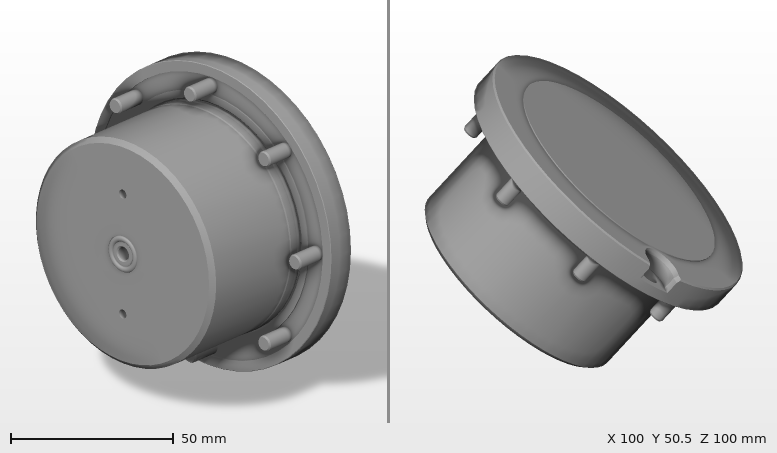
import cadquery as cq
import math


flange_radius = 50.0
flange_back = 9.6
face_rim_chamfer = 0.2
back_rim_chamfer = 0.5
mouth_chamfer = 0.5
pad_radius = 38.2
pad_height = 0.4

body_radius = 74.6 / 2
body_length = 40.0
end_chamfer_length = 1.5
end_chamfer_depth = 1.6
land_radius = 75.0 / 2
land_start = 1.8
land_end = 4.3
land_taper_length = 0.5

ring_outer_radius = land_radius
ring_bulge = 0.7

face_seal_inner_radius = 8.0 / 2
face_seal_outer_radius = 12.0 / 2
face_seal_height = 0.5
face_seal_edge_depth = 0.3

bolt_circle_radius = 43.5
recess_width = 6.0
recess_depth = 0.5
bolt_count = 8
bolt_radius = 5.0 / 2
bolt_projection = 9.6
bolt_chamfer_length = 0.6
bolt_chamfer_depth = 0.35

hole_angle = math.radians(270 - 180 / bolt_count)
through_hole_radius = 8.0 / 2
pocket_radius = 12.0 / 2
pocket_centre_radii = (45.4, 49.4)
pocket_depth = 6.0
pocket_chamfer_length = 1.6
pocket_chamfer_depth = 0.7

port_mouth_radius = 5.2 / 2
port_bore_radius = 4.3 / 2
port_bore_depth = 6.0
port_drill_radius = 3.3 / 2
port_drill_depth = 10.0
small_hole_radius = 3.0 / 2
small_hole_offset = 20.0
small_hole_depth = 6.0
drill_tip_angle = math.radians(118)


def turn(profile):
    """Revolve a closed (radius, Y) profile about the Y axis."""
    return profile.close().revolve(360, (0, 0, 0), (0, 1, 0))


def polar(radius, angle):
    """X and Z of a point on a circle about the Y axis."""
    return radius * math.cos(angle), radius * math.sin(angle)


def move_to(solid, place):
    return solid.translate((place[0], 0, place[1]))


def make_turned_body():
    end_face = -body_length
    seal_mid_radius = (face_seal_inner_radius + face_seal_outer_radius) / 2
    seal_crown = end_face - face_seal_height
    seal_edge = end_face + face_seal_edge_depth
    ring_edge_radius = ring_outer_radius - ring_bulge
    ring_mid = (mouth_chamfer - land_start) / 2
    back = flange_back
    profile = (
        cq.Workplane("XY")
        .moveTo(0, end_face)
        .lineTo(face_seal_inner_radius, end_face)
        .lineTo(face_seal_inner_radius, seal_edge)
        .threePointArc((seal_mid_radius, seal_crown), (face_seal_outer_radius, seal_edge))
        .lineTo(face_seal_outer_radius, end_face)
        .lineTo(body_radius - end_chamfer_depth, end_face)
        .lineTo(body_radius, end_face + end_chamfer_length)
        .lineTo(body_radius, -land_end - land_taper_length)
        .lineTo(land_radius, -land_end)
        .lineTo(land_radius, -land_start)
        .lineTo(ring_edge_radius, -land_start)
        .threePointArc((ring_outer_radius, ring_mid), (ring_edge_radius, mouth_chamfer))
        .lineTo(land_radius, mouth_chamfer)
        .lineTo(land_radius + mouth_chamfer, 0)
        .lineTo(flange_radius - face_rim_chamfer, 0)
        .lineTo(flange_radius, face_rim_chamfer)
        .lineTo(flange_radius, back - back_rim_chamfer)
        .lineTo(flange_radius - back_rim_chamfer, back)
        .lineTo(pad_radius, back)
        .lineTo(pad_radius, back + pad_height)
        .lineTo(0, back + pad_height)
    )
    return turn(profile)


def make_bolt_recess():
    inner = bolt_circle_radius - recess_width / 2
    return turn(
        cq.Workplane("XY")
        .moveTo(inner, 0)
        .lineTo(inner + recess_width, 0)
        .lineTo(inner + recess_width, recess_depth)
        .lineTo(inner, recess_depth)
    )


def make_bolt_end():
    return turn(
        cq.Workplane("XY")
        .moveTo(0, flange_back / 2)
        .lineTo(bolt_radius, flange_back / 2)
        .lineTo(bolt_radius, bolt_chamfer_length - bolt_projection)
        .lineTo(bolt_radius - bolt_chamfer_depth, -bolt_projection)
        .lineTo(0, -bolt_projection)
    )


def make_through_hole():
    return turn(
        cq.Workplane("XY")
        .lineTo(through_hole_radius, 0)
        .lineTo(through_hole_radius, flange_back)
        .lineTo(0, flange_back)
    )


def make_pocket_bore():
    """Flat-bottomed bore from the back of the flange, chamfered at its mouth."""
    return turn(
        cq.Workplane("XY")
        .moveTo(0, flange_back)
        .lineTo(pocket_radius + pocket_chamfer_depth, flange_back)
        .lineTo(pocket_radius, flange_back - pocket_chamfer_length)
        .lineTo(pocket_radius, flange_back - pocket_depth)
        .lineTo(0, flange_back - pocket_depth)
    )


def make_drill(radius, depth):
    """Drilled hole in the end face, with a conical bottom."""
    end_face = -body_length
    tip_length = radius / math.tan(drill_tip_angle / 2)
    return turn(
        cq.Workplane("XY")
        .moveTo(0, end_face)
        .lineTo(radius, end_face)
        .lineTo(radius, end_face + depth)
        .lineTo(0, end_face + depth + tip_length)
    )


def make_port():
    end_face = -body_length
    mouth = turn(
        cq.Workplane("XY")
        .moveTo(0, end_face)
        .lineTo(port_mouth_radius, end_face)
        .lineTo(port_bore_radius, end_face + port_mouth_radius - port_bore_radius)
        .lineTo(port_bore_radius, end_face + port_bore_depth)
        .lineTo(0, end_face + port_bore_depth)
    )
    return mouth.union(make_drill(port_drill_radius, port_drill_depth))


result = make_turned_body().cut(make_bolt_recess())

for index in range(bolt_count):
    bolt_angle = 2 * math.pi * index / bolt_count
    result = result.union(move_to(make_bolt_end(), polar(bolt_circle_radius, bolt_angle)))

result = result.cut(move_to(make_through_hole(), polar(bolt_circle_radius, hole_angle)))
for centre_radius in pocket_centre_radii:
    result = result.cut(move_to(make_pocket_bore(), polar(centre_radius, hole_angle)))

result = result.cut(make_port())
for side in (-1, 1):
    small_hole = make_drill(small_hole_radius, small_hole_depth)
    result = result.cut(move_to(small_hole, (0, side * small_hole_offset)))